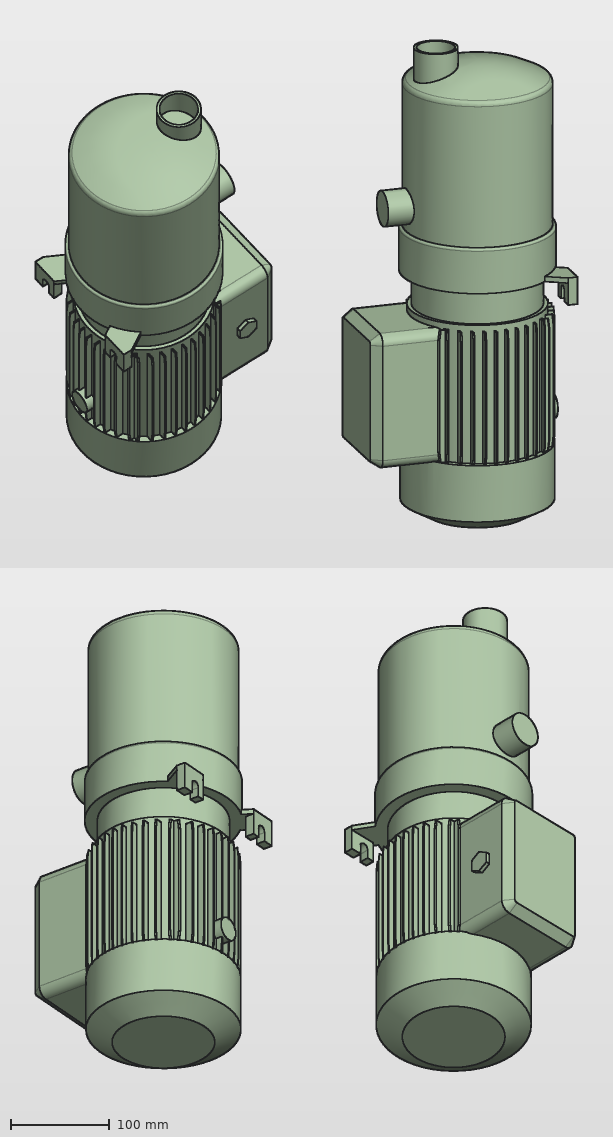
import cadquery as cq
import math

COVER_CONE_TOP_Z = 15.0
COVER_TOP_Z = 75.0
FINS_TOP_Z = 216.5
MOTOR_TOP_Z = 223.0
COLLAR_BOTTOM_Z = 259.5
COLLAR_TOP_Z = 307.5
DOME_APEX_Z = 483.5
TOP_Z = 501.0

COVER_BOTTOM_RADIUS = 52.0
COVER_RADIUS = 78.5
MOTOR_RADIUS = 71.5
NECK_RADIUS = 67.0
COLLAR_DIAMETER = 160.0
COLLAR_RADIUS = COLLAR_DIAMETER / 2
COLLAR_FILLET = 2.5
TANK_DIAMETER = 153.0
TANK_RADIUS = TANK_DIAMETER / 2
DOME_SPHERE_RADIUS = 148.0
DOME_EDGE_FILLET = 6.5

FIN_ENVELOPE_RADIUS = 78.5
FIN_END_INSET = 1.0
FIN_END_LENGTH = 11.0
FINS_PER_SIDE = 10
FIN_PITCH = 11.5
FIN_THICKNESS = 1.5
FIN_ROOT = 45.0

TOP_PIPE_Y = 44.5
TOP_PIPE_RADIUS = 22.5
PIPE_WALL = 3.0
REAR_PIPE_RADIUS = 18.5
REAR_PIPE_Z = 334.5
REAR_PIPE_END_Y = 101.5

BOX_WIDTH = 102.0
BOX_BOTTOM_Z = 73.0
BOX_TOP_Z = FINS_TOP_Z
BOX_BACK_Y = 130.0
BOX_FRONT_Y = 45.0
BOX_FILLET = 10.5
BOX_RIM_DEPTH = 11.0
BOX_RIM_INSET = 7.5
GLAND_ACROSS_FLATS = 21.0
GLAND_LENGTH = 4.5
GLAND_Y = 90.5

FRONT_Y = -82.0
LUG_OUTER_X = 73.5
LUG_INNER_X = 42.5
LUG_THICKNESS = 10.0
LUG_TOP_Z = 265.0
LUG_BOTTOM_Z = 236.0
LUG_SLOT_X = 56.0
LUG_SLOT_RADIUS = 5.0
LUG_SLOT_CENTER_Z = 246.5
ARM_ANGLE = 60.0
ARM_REACH = 25.0
PLUG_RADIUS = 12.5
PLUG_Z = 104.0


def cylinder(radius, bottom_z, top_z):
    return cq.Workplane("XY").workplane(offset=bottom_z).circle(radius).extrude(top_z - bottom_z)


def make_fan_cover():
    profile = [
        (0, 0),
        (COVER_BOTTOM_RADIUS, 0),
        (COVER_RADIUS, COVER_CONE_TOP_Z),
        (COVER_RADIUS, COVER_TOP_Z),
        (0, COVER_TOP_Z),
    ]
    return cq.Workplane("XZ").polyline(profile).close().revolve(360, (0, 0), (0, 1))


def make_fins():
    height = FINS_TOP_Z - COVER_TOP_Z
    plate_length = FIN_ENVELOPE_RADIUS - FIN_ROOT
    middle_radius = FIN_ROOT + plate_length / 2
    side = cq.Workplane("XY").workplane(offset=COVER_TOP_Z)
    side = side.center(0, -middle_radius).rarray(FIN_PITCH, 5, FINS_PER_SIDE, 1)
    side = side.rect(FIN_THICKNESS, plate_length).extrude(height)
    fins = side
    for quarter_turn in (90, 180, 270):
        fins = fins.union(side.rotate((0, 0, 0), (0, 0, 1), quarter_turn))
    envelope = cylinder(FIN_ENVELOPE_RADIUS, COVER_TOP_Z, FINS_TOP_Z)
    envelope = envelope.edges().chamfer(FIN_END_LENGTH, FIN_END_INSET)
    return fins.intersect(envelope)


def make_collar():
    collar = cylinder(COLLAR_RADIUS, COLLAR_BOTTOM_Z, COLLAR_TOP_Z)
    return collar.faces(">Z").edges().fillet(COLLAR_FILLET)


def dome_z(radius):
    """Height of the spherical dome at a distance from the axis."""
    drop = DOME_SPHERE_RADIUS - math.sqrt(DOME_SPHERE_RADIUS**2 - radius**2)
    return DOME_APEX_Z - drop


def make_tank():
    edge_z = dome_z(TANK_RADIUS)
    halfway = TANK_RADIUS / 2
    profile = (
        cq.Workplane("XZ")
        .moveTo(0, COLLAR_BOTTOM_Z)
        .lineTo(TANK_RADIUS, COLLAR_BOTTOM_Z)
        .lineTo(TANK_RADIUS, edge_z)
        .threePointArc((halfway, dome_z(halfway)), (0, DOME_APEX_Z))
        .close()
    )
    tank = profile.revolve(360, (0, 0), (0, 1))
    return tank.faces("%SPHERE").edges("%CIRCLE").edges("<Z").fillet(DOME_EDGE_FILLET)


def make_top_pipe():
    base_z = COLLAR_TOP_Z
    pipe = cq.Workplane("XY").workplane(offset=base_z).center(0, TOP_PIPE_Y)
    return pipe.circle(TOP_PIPE_RADIUS).circle(TOP_PIPE_RADIUS - PIPE_WALL).extrude(TOP_Z - base_z)


def make_rear_pipe():
    return cq.Workplane("XZ").center(0, REAR_PIPE_Z).circle(REAR_PIPE_RADIUS).extrude(-REAR_PIPE_END_Y)


def make_terminal_box():
    middle_z = (BOX_TOP_Z + BOX_BOTTOM_Z) / 2
    rim_start_y = BOX_BACK_Y - BOX_RIM_DEPTH
    rim_taper = math.degrees(math.atan(BOX_RIM_INSET / BOX_RIM_DEPTH))
    section = cq.Sketch().rect(BOX_WIDTH, BOX_TOP_Z - BOX_BOTTOM_Z).vertices().fillet(BOX_FILLET)
    front = cq.Plane(origin=(0, BOX_FRONT_Y, middle_z), xDir=(-1, 0, 0), normal=(0, 1, 0))
    rim_start = cq.Plane(origin=(0, rim_start_y, middle_z), xDir=(-1, 0, 0), normal=(0, 1, 0))
    box = cq.Workplane(front).placeSketch(section).extrude(rim_start_y - BOX_FRONT_Y)
    rim = cq.Workplane(rim_start).placeSketch(section).extrude(BOX_RIM_DEPTH, taper=rim_taper)
    box = box.union(rim)

    corner_diameter = GLAND_ACROSS_FLATS / math.cos(math.pi / 6)
    gland = cq.Workplane("YZ", origin=(0, GLAND_Y, middle_z)).polygon(6, corner_diameter)
    gland = gland.extrude(BOX_WIDTH / 2 + GLAND_LENGTH)
    point_up_turn = 30
    gland = gland.rotate((0, GLAND_Y, middle_z), (1, GLAND_Y, middle_z), point_up_turn)
    return box.union(gland)


def make_right_lug():
    width = LUG_OUTER_X - LUG_INNER_X
    back_y = FRONT_Y + LUG_THICKNESS
    plate = cq.Workplane("XY").box(width, LUG_THICKNESS, LUG_TOP_Z - LUG_BOTTOM_Z, centered=False)
    plate = plate.translate((LUG_INNER_X, FRONT_Y, LUG_BOTTOM_Z))

    arm_dx = ARM_REACH * math.cos(math.radians(ARM_ANGLE))
    arm_dy = ARM_REACH * math.sin(math.radians(ARM_ANGLE))
    arm_outline = [
        (LUG_INNER_X, FRONT_Y),
        (LUG_OUTER_X, FRONT_Y),
        (LUG_OUTER_X, back_y),
        (LUG_OUTER_X - arm_dx, back_y + arm_dy),
        (LUG_INNER_X - arm_dx, FRONT_Y + arm_dy),
    ]
    arm = cq.Workplane("XY").workplane(offset=COLLAR_BOTTOM_Z).polyline(arm_outline).close()
    arm = arm.extrude(LUG_TOP_Z - COLLAR_BOTTOM_Z)

    slot = (
        cq.Workplane("XZ", origin=(0, back_y, 0))
        .moveTo(LUG_SLOT_X - LUG_SLOT_RADIUS, LUG_BOTTOM_Z)
        .lineTo(LUG_SLOT_X - LUG_SLOT_RADIUS, LUG_SLOT_CENTER_Z)
        .threePointArc(
            (LUG_SLOT_X, LUG_SLOT_CENTER_Z + LUG_SLOT_RADIUS),
            (LUG_SLOT_X + LUG_SLOT_RADIUS, LUG_SLOT_CENTER_Z),
        )
        .lineTo(LUG_SLOT_X + LUG_SLOT_RADIUS, LUG_BOTTOM_Z)
        .close()
        .extrude(LUG_THICKNESS)
    )
    return plate.union(arm).cut(slot)


def make_drain_plug():
    return cq.Workplane("XZ").center(0, PLUG_Z).circle(PLUG_RADIUS).extrude(-FRONT_Y)


right_lug = make_right_lug()

result = make_fan_cover()
result = result.union(cylinder(MOTOR_RADIUS, COVER_TOP_Z, MOTOR_TOP_Z))
result = result.union(make_fins())
result = result.union(cylinder(NECK_RADIUS, MOTOR_TOP_Z, COLLAR_BOTTOM_Z))
result = result.union(make_collar())
result = result.union(make_tank())
result = result.union(make_top_pipe())
result = result.union(make_rear_pipe())
result = result.union(make_terminal_box())
result = result.union(right_lug)
result = result.union(right_lug.mirror("YZ"))
result = result.union(make_drain_plug())